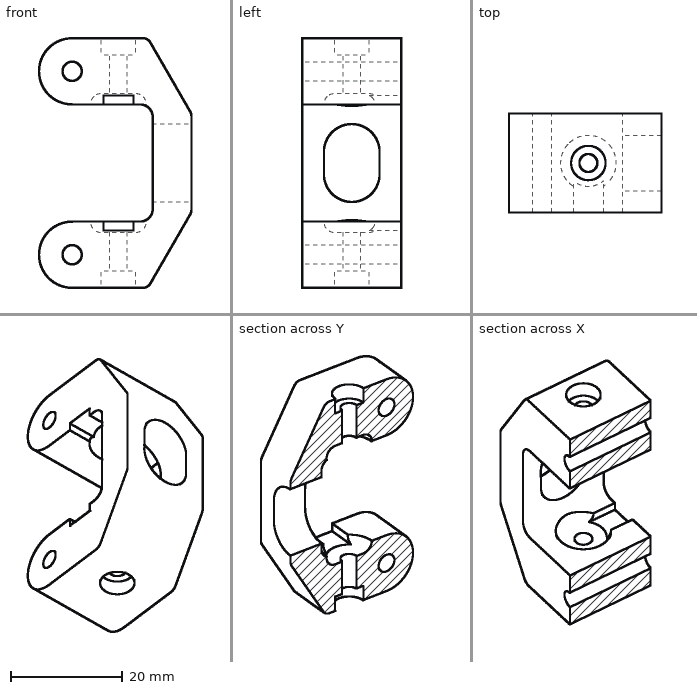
import cadquery as cq
import math

length = 27.5
width = 17.9
height = 45.0
arm_thickness = 11.95
arm_end_radius = arm_thickness / 2
wall_thickness = 7.0
inner_fillet = 2.25

slope_angle = 60.0
slope_run = 7.88
slope_rise = slope_run * math.tan(math.radians(slope_angle))
outer_fillet = 1.58
back_fillet = 2.0

pivot_hole_diameter = 3.4
screw_hole_diameter = 3.2
counterbore_diameter = 6.2
counterbore_depth = 3.0
screw_x = 14.3
window_width = 10.0
window_height = 14.0

cup_diameter = 10.0
cup_depth = 2.0
cup_floor_diameter = 6.2
cup_round = (cup_diameter - cup_floor_diameter) / 2
slot_width = 5.45
slot_depth = 1.6

half_height = height / 2
inner_half_height = half_height - arm_thickness
pivot_height = half_height - arm_end_radius
inner_wall_x = length - wall_thickness
slope_start_x = length - slope_run
slope_end_z = half_height - slope_rise


def make_body():
    """C-shaped profile with round arm ends, extruded across the width."""
    body = (
        cq.Workplane("XZ")
        .moveTo(arm_end_radius, half_height)
        .lineTo(slope_start_x, half_height)
        .lineTo(length, slope_end_z)
        .lineTo(length, -slope_end_z)
        .lineTo(slope_start_x, -half_height)
        .lineTo(arm_end_radius, -half_height)
        .threePointArc((0, -pivot_height), (arm_end_radius, -inner_half_height))
        .lineTo(inner_wall_x, -inner_half_height)
        .lineTo(inner_wall_x, inner_half_height)
        .lineTo(arm_end_radius, inner_half_height)
        .threePointArc((0, pivot_height), (arm_end_radius, half_height))
        .close()
        .extrude(width / 2, both=True)
    )
    body = fillet_corners(body, inner_wall_x, inner_half_height, inner_fillet)
    body = fillet_corners(body, slope_start_x, half_height, outer_fillet)
    return fillet_corners(body, length, slope_end_z, back_fillet)


def fillet_corners(body, x, z, radius):
    """Round the two edges along Y at (x, z) and (x, -z)."""
    for corner_z in (z, -z):
        body = body.edges(cq.selectors.NearestToPointSelector((x, 0, corner_z))).fillet(radius)
    return body


def make_pivot_hole():
    """Cross hole along Y through the upper arm end."""
    return (
        cq.Workplane("XZ")
        .center(arm_end_radius, pivot_height)
        .circle(pivot_hole_diameter / 2)
        .extrude(width, both=True)
    )


def make_screw_cut():
    """Vertical hole through the upper arm, counterbored on its outer face."""
    hole = (
        cq.Workplane(origin=(screw_x, 0, inner_half_height))
        .circle(screw_hole_diameter / 2)
        .extrude(arm_thickness)
    )
    counterbore = (
        cq.Workplane(origin=(screw_x, 0, half_height - counterbore_depth))
        .circle(counterbore_diameter / 2)
        .extrude(counterbore_depth)
    )
    return hole.union(counterbore)


def make_cup_cut():
    """Cup with a rounded floor edge, and a slot from it to the -Y side.

    The cup starts one fillet radius clear of the arm so it also cuts the inner corner fillet.
    """
    cup = (
        cq.Workplane(origin=(screw_x, 0, inner_half_height - inner_fillet))
        .circle(cup_diameter / 2)
        .extrude(inner_fillet + cup_depth)
        .faces(">Z")
        .edges()
        .fillet(cup_round)
    )
    slot = cq.Workplane().box(slot_width, width / 2, slot_depth, centered=(True, False, False))
    return cup.union(slot.translate((screw_x, -width / 2, inner_half_height)))


def make_window():
    """Upright round-ended opening through the back wall."""
    return (
        cq.Workplane("YZ", origin=(inner_wall_x, 0, 0))
        .slot2D(window_height, window_width, 90)
        .extrude(wall_thickness)
    )


result = make_body().cut(make_window())
for make_cut in (make_pivot_hole, make_screw_cut, make_cup_cut):
    upper_cut = make_cut()
    result = result.cut(upper_cut).cut(upper_cut.mirror("XY"))